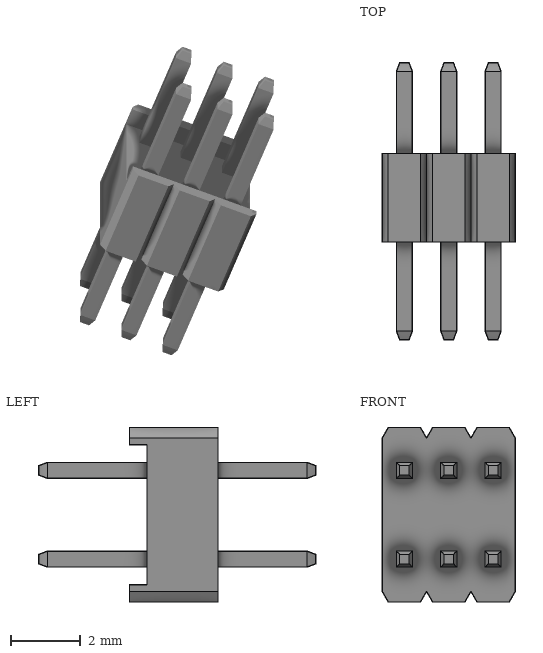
import cadquery as cq

columns = 3
column_pitch = 1.27
row_pitch = 2.54

body_width = columns * column_pitch
body_depth = 2.54
body_height = 5.0
body_front_y = -1.17
body_back_y = body_front_y + body_depth
corner_run = 0.173
corner_drop = 0.3

recess_depth = 0.5
lip_height = 0.5

pin_length = 7.94
pin_width = 0.46
tip_width = 0.27
tip_length = 0.25


def housing_outline():
    """Outline in X and Z: each column has its four corners cut, so V notches form between columns."""
    top = body_height / 2
    shoulder = top - corner_drop
    upper_edge = []
    for column in range(columns):
        left = -body_width / 2 + column * column_pitch
        right = left + column_pitch
        upper_edge.append((left, shoulder))
        upper_edge.append((left + corner_run, top))
        upper_edge.append((right - corner_run, top))
    upper_edge.append((body_width / 2, shoulder))
    lower_edge = [(x, -z) for x, z in reversed(upper_edge)]
    return upper_edge + lower_edge


def make_housing():
    block = (
        cq.Workplane("XZ", origin=(0, body_back_y, 0))
        .polyline(housing_outline())
        .close()
        .extrude(body_depth)
    )
    recess = cq.Workplane("XY").box(
        body_width, recess_depth, body_height - 2 * lip_height
    )
    return block.cut(recess.translate((0, body_back_y - recess_depth / 2, 0)))


def make_tip():
    """Tapered pin end pointing toward -Y."""
    return (
        cq.Workplane("XZ", origin=(0, -pin_length / 2 + tip_length, 0))
        .rect(pin_width, pin_width)
        .workplane(offset=tip_length)
        .rect(tip_width, tip_width)
        .loft(ruled=True)
    )


def make_pin():
    shank = cq.Workplane("XY").box(pin_width, pin_length - 2 * tip_length, pin_width)
    tip = make_tip()
    return shank.union(tip).union(tip.mirror("XZ"))


result = make_housing()
pin = make_pin()
for column in range(columns):
    pin_x = (column - (columns - 1) / 2) * column_pitch
    for pin_z in (-row_pitch / 2, row_pitch / 2):
        result = result.union(pin.translate((pin_x, 0, pin_z)))